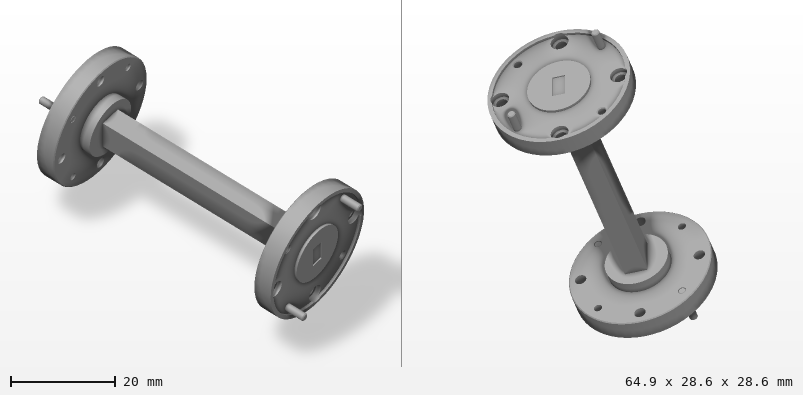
import cadquery as cq
import math

overall_length = 64.9
pin_projection = 3.75
face_x = overall_length / 2 - pin_projection

flange_diameter = 28.55
flange_thickness = 4.15
flange_chamfer = 0.2

hub_diameter = 12.65
hub_length = 2.4

tube_width = 4.55
tube_height = 6.75

boss_diameter = hub_diameter
rim_inner_diameter = 26.75
ring_depth = 0.6

window_width = 2.5
window_height = 4.8
window_depth = 0.25

pitch_radius = 11.9
screw_hole_diameter = 2.3
counterbore_diameter = 3.6
counterbore_depth = 1.7
screw_hole_angles = (0, 90, 180, 270)

pin_diameter = 1.6
pin_chamfer = 0.2
pin_angles = (135, 315)
mating_hole_diameter = pin_diameter
countersink_depth = 0.2
mating_hole_angles = (45, 225)


def pitch_point(angle):
    """Y and Z of a point on the pitch circle, with the angle in degrees from +Y towards +Z."""
    turn = math.radians(angle)
    return pitch_radius * math.cos(turn), pitch_radius * math.sin(turn)


def cylinder_x(diameter, x_start, length, center=(0, 0)):
    """Cylinder along +X, with its axis at the given Y and Z."""
    return (
        cq.Workplane("YZ", origin=(x_start, 0, 0))
        .center(*center)
        .circle(diameter / 2)
        .extrude(length)
    )


def countersink(angle):
    """Cone that widens the mouth of a mating hole."""
    y, z = pitch_point(angle)
    mouth_radius = mating_hole_diameter / 2 + countersink_depth
    return cq.Workplane(
        cq.Solid.makeCone(
            mouth_radius,
            mating_hole_diameter / 2,
            countersink_depth,
            cq.Vector(-face_x + ring_depth, y, z),
            cq.Vector(1, 0, 0),
        )
    )


def make_flange_end():
    """Flange and hub at the -X end, with every hole and recess cut in it."""
    disc = cylinder_x(flange_diameter, -face_x, flange_thickness)
    disc = disc.faces(">X").edges().chamfer(flange_chamfer)
    hub = cylinder_x(hub_diameter, -face_x, flange_thickness + hub_length)
    end = disc.union(hub)

    ring = cylinder_x(rim_inner_diameter, -face_x, ring_depth)
    ring = ring.cut(cylinder_x(boss_diameter, -face_x, ring_depth))
    end = end.cut(ring)

    window = cq.Workplane("XY").box(window_depth, window_width, window_height, centered=(False, True, True))
    end = end.cut(window.translate((-face_x, 0, 0)))

    for angle in screw_hole_angles:
        center = pitch_point(angle)
        end = end.cut(cylinder_x(screw_hole_diameter, -face_x, flange_thickness, center))
        end = end.cut(cylinder_x(counterbore_diameter, -face_x, counterbore_depth, center))
    for angle in pin_angles:
        end = end.cut(cylinder_x(pin_diameter, -face_x, flange_thickness, pitch_point(angle)))
    for angle in mating_hole_angles:
        end = end.cut(cylinder_x(mating_hole_diameter, -face_x, flange_thickness, pitch_point(angle)))
        end = end.cut(countersink(angle))
    return end


def opposite_end(body):
    """Same body at the +X end, half a turn about Z away."""
    return body.rotate((0, 0, 0), (0, 0, 1), 180)


def make_waveguide():
    """Tube with a flange end on each side, as one solid."""
    tube_length = 2 * (face_x - flange_thickness)
    tube = cq.Workplane("XY").box(tube_length, tube_width, tube_height)
    flange_end = make_flange_end()
    return tube.union(flange_end).union(opposite_end(flange_end))


def make_pin(angle):
    """Dowel pin of the -X flange: its inner end is flush with the flange back."""
    pin_length = pin_projection + flange_thickness
    pin = cylinder_x(pin_diameter, -overall_length / 2, pin_length, pitch_point(angle))
    return pin.faces("<X or >X").edges().chamfer(pin_chamfer)


waveguide = make_waveguide()

pins = []
for pin_angle in pin_angles:
    near_pin = make_pin(pin_angle)
    pins.append(near_pin.val())
    pins.append(opposite_end(near_pin).val())

result = cq.Compound.makeCompound([waveguide.val(), *pins])